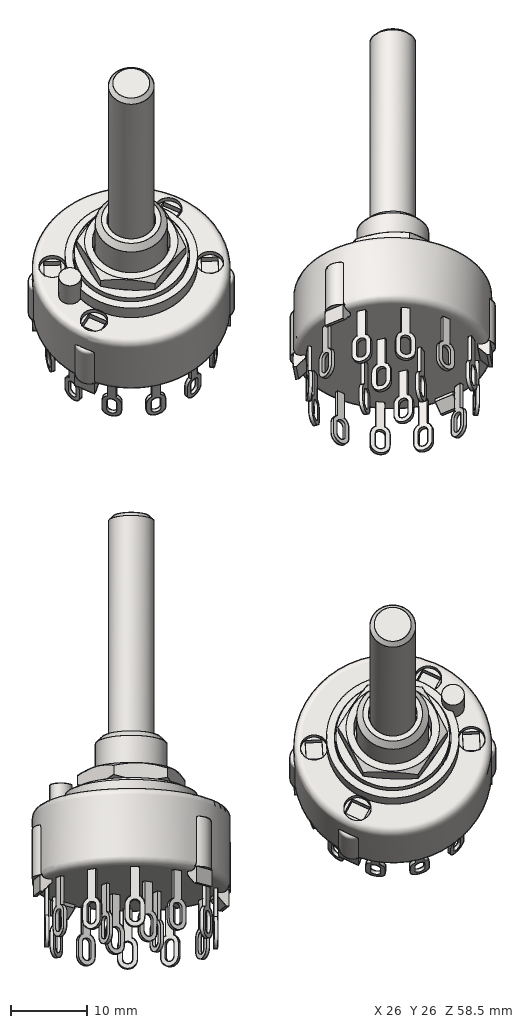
import cadquery as cq

overall_height = 58.5
lug_length = 8.1
shaft_top = overall_height - lug_length

housing_diameter = 26.0
housing_height = 10.4
housing_edge_radius = 1.0

flange_diameter = 17.45
flange_top = 12.5
recess_diameter = 15.3
recess_depth = 0.6
recess_floor = flange_top - recess_depth

washer_diameter = 15.0
washer_top = 13.1
nut_bore_diameter = 10.25
nut_corner_diameter = 14.45
nut_face_diameter = 12.3
nut_top = 15.5
nut_chamfer_height = 0.6
nut_turn = -6

bushing_diameter = 9.5
bushing_top = 20.35
bushing_chamfer = 0.8
bushing_bore_diameter = 6.4
bushing_bore_depth = 1.15
shaft_diameter = 6.0
shaft_chamfer = 0.6

pin_diameter = 3.0
pin_offset = 9.5
pin_top = 14.45

clip_angles = (60, 120, 240, 300)
hole_circle_radius = 10.35
hole_diameter = 3.55
hole_depth = 0.7
pocket_radial = 2.2
pocket_tangential = 2.7
pocket_depth = 1.6

rib_circle_radius = 11.6
rib_radius = 2.0
rib_bottom = 0.45
rib_top = 7.35
rib_edge_radius = 0.4
foot_outer_radius = housing_diameter / 2
foot_bottom = -1.75
foot_width = 2.9
foot_bottom_length = 0.4
foot_tip_length = 1.65
foot_tip_height = -0.45

contact_count = 12
contact_circle_radius = 11.1
common_count = 4
common_circle_radius = 4.0
lug_thickness = 0.5
stem_width = 1.15
stem_root = 0.6
eyelet_width = 2.65
eyelet_height = 4.3
eyelet_rim = 0.65


def cylinder(diameter, bottom, top):
    return cq.Workplane("XY").workplane(offset=bottom).circle(diameter / 2).extrude(top - bottom)


def ring(outer_diameter, inner_diameter, bottom, top):
    return cylinder(outer_diameter, bottom, top).cut(cylinder(inner_diameter, bottom, top))


def place(solid, angle):
    """Turn a solid modelled along +X to the given angle about the shaft axis."""
    return solid.rotate((0, 0, 0), (0, 0, 1), angle)


def make_housing():
    """Housing with its mounting flange, washer recess and locating pin."""
    housing = cylinder(housing_diameter, 0, housing_height).edges().fillet(housing_edge_radius)
    flange = cylinder(flange_diameter, 0, flange_top)
    pin = cylinder(pin_diameter, 0, pin_top).translate((0, -pin_offset, 0))
    recess = cylinder(recess_diameter, recess_floor, flange_top)
    return housing.union(flange).union(pin).cut(recess)


def make_nut():
    """Hexagonal nut whose corners are cut by a cone at both faces."""
    height = nut_top - washer_top
    hexagon = cq.Workplane("XY").workplane(offset=washer_top).polygon(6, nut_corner_diameter).extrude(height)
    corner_cut = (nut_corner_diameter - nut_face_diameter) / 2
    envelope = cylinder(nut_corner_diameter, washer_top, nut_top)
    envelope = envelope.edges().chamfer(nut_chamfer_height, corner_cut)
    return place(hexagon.intersect(envelope), nut_turn).cut(
        cylinder(nut_bore_diameter, washer_top, nut_top))


def make_bushing():
    bushing = cylinder(bushing_diameter, 0, bushing_top).faces(">Z").edges().chamfer(bushing_chamfer)
    bore = cylinder(bushing_bore_diameter, bushing_top - bushing_bore_depth, bushing_top)
    return bushing.cut(bore)


def make_shaft():
    return cylinder(shaft_diameter, 0, shaft_top).faces(">Z").edges().chamfer(shaft_chamfer)


def make_cover_hole():
    """Round counterbore with a rectangular pocket in its floor."""
    counterbore = cylinder(hole_diameter, housing_height - hole_depth, housing_height)
    pocket = (
        cq.Workplane("XY").workplane(offset=housing_height - pocket_depth)
        .rect(pocket_radial, pocket_tangential).extrude(pocket_depth)
        .intersect(cylinder(hole_diameter, 0, housing_height))
    )
    return counterbore.union(pocket).translate((hole_circle_radius, 0, 0))


def make_leg():
    rib = cylinder(2 * rib_radius, rib_bottom, rib_top).faces(">Z").edges().fillet(rib_edge_radius)
    rib = rib.translate((rib_circle_radius, 0, 0))
    foot = (
        cq.Workplane("XZ")
        .moveTo(foot_outer_radius, rib_bottom)
        .lineTo(foot_outer_radius, foot_bottom)
        .lineTo(foot_outer_radius - foot_bottom_length, foot_bottom)
        .lineTo(foot_outer_radius - foot_tip_length, foot_tip_height)
        .lineTo(foot_outer_radius - foot_tip_length, rib_bottom)
        .close()
        .extrude(foot_width / 2, both=True)
    )
    return rib.union(foot)


def make_lug():
    """Flat stem ending in an eyelet with an oblong hole."""
    stem_length = stem_root + lug_length - eyelet_height / 2
    eyelet_middle = eyelet_height / 2 - lug_length
    stem = cq.Workplane("XY").box(lug_thickness, stem_width, stem_length)
    stem = stem.translate((0, 0, stem_root - stem_length / 2))
    plane = cq.Workplane("YZ").center(0, eyelet_middle)
    eyelet = plane.slot2D(eyelet_height, eyelet_width, 90).extrude(lug_thickness / 2, both=True)
    hole = plane.slot2D(eyelet_height - 2 * eyelet_rim, eyelet_width - 2 * eyelet_rim, 90)
    hole = hole.extrude(lug_thickness / 2, both=True)
    return stem.union(eyelet).cut(hole)


result = make_housing()
result = result.union(ring(washer_diameter, nut_bore_diameter, recess_floor, washer_top))
result = result.union(make_nut())
result = result.union(make_bushing())
result = result.union(make_shaft())

cover_hole = make_cover_hole()
leg = make_leg()
for angle in clip_angles:
    result = result.cut(place(cover_hole, angle))
    result = result.union(place(leg, angle))

for count, radius in ((contact_count, contact_circle_radius), (common_count, common_circle_radius)):
    lug = make_lug().translate((radius, 0, 0))
    lug_spacing = 360 / count
    for i in range(count):
        result = result.union(place(lug, lug_spacing / 2 + i * lug_spacing))